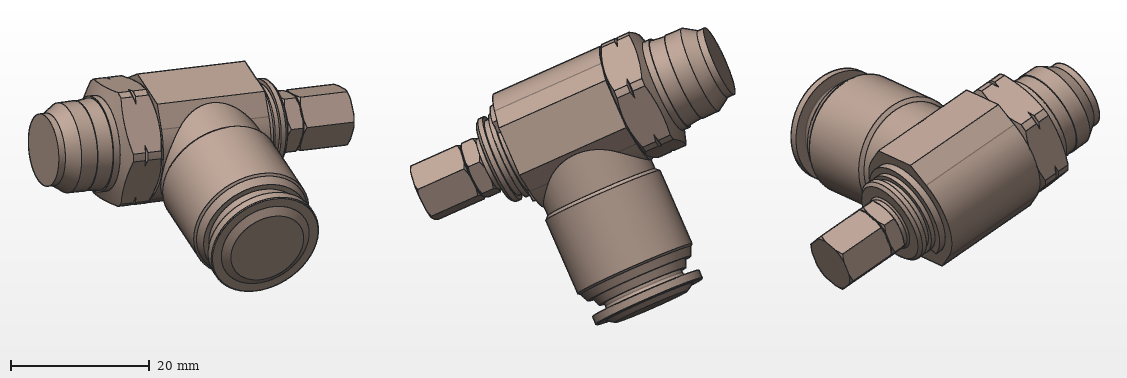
import cadquery as cq
import math


main_hex_flats = 17.0
main_hex_corner_r = 9.5
main_hex_start = 9.0
main_hex_end = 14.9
main_hex_front_angle = 20.0
main_hex_back_angle = 30.0
mark_root_r = 9.05
mark_width = 0.45
mark_y = 12.0

tip_r = 5.25
tip_length = 1.05
thread_start_r = 6.55
thread_end_r = 6.6
lead_in_end = 3.05
thread_end = 5.6
relief_small_r = 6.45
relief_large_r = 6.75
relief_end = 7.95
seat_r = 7.0

housing_end = 32.0
housing_apothem = 9.0
housing_mid = (main_hex_end + housing_end) / 2
octagon_half_step = 22.5
core_r = 5.95

stop_collar_r = 7.55
stop_collar_end = 33.1
stop_collar_cut_z = -3.32
ring_r = 6.55
inner_ring_end = 33.8
outer_ring_start = 34.75
outer_ring_end = 36.0
ring_chamfer = 0.48
neck_r = 4.05
neck_flare = 0.3
neck_end = 37.0

small_hex_flats = 8.0
lock_nut_end = 39.4
knob_start = 39.5
stem_length = 47.5
gap_r = 3.8
hex_chamfer_run = 0.3
hex_chamfer_inner_r = 4.15

elbow_tilt = octagon_half_step
elbow_r = 9.02
elbow_root_r = 8.45
shoulder_start = 10.35
shoulder_end = 10.9
elbow_end = 22.4
cap_rim_r = 8.7
cap_rim_end = 22.7
cap_small_r = 8.1
cap_end = 24.0
insert_large_r = 7.3
insert_small_r = 6.85
insert_end = 25.2
sleeve_r = 6.1
flange_back = 26.3
flange_front = 27.65
flange_r = 8.4
flange_chamfer = 0.15
flange_root_fillet = 0.6
button_base_r = 6.9
button_face_r = 5.7
button_face = 28.4


def turned_along_y(profile):
    """Revolve an outline of (radius, y) points about the Y axis."""
    return cq.Workplane("XY").polyline(profile).close().revolve(360, (0, 0, 0), (0, 1, 0))


def hexagon_along_y(flats, start, end):
    """Hexagonal bar with two flats facing up and down and two corners on the X axis."""
    corner_diameter = flats / math.cos(math.radians(30))
    return (
        cq.Workplane("XZ", origin=(0, start, 0))
        .polygon(6, corner_diameter)
        .extrude(start - end)
    )


def make_main_hexagon():
    flat_r = main_hex_flats / 2
    front_slope = math.tan(math.radians(main_hex_front_angle))
    back_slope = math.tan(math.radians(main_hex_back_angle))
    front_edge = main_hex_start + (main_hex_corner_r - seat_r) * front_slope
    back_edge = main_hex_end - (main_hex_corner_r - flat_r) * back_slope
    envelope = turned_along_y([
        (0, main_hex_start),
        (seat_r, main_hex_start),
        (main_hex_corner_r, front_edge),
        (main_hex_corner_r, mark_y - mark_width / 2),
        (mark_root_r, mark_y),
        (main_hex_corner_r, mark_y + mark_width / 2),
        (main_hex_corner_r, back_edge),
        (flat_r, main_hex_end),
        (0, main_hex_end),
    ])
    return hexagon_along_y(main_hex_flats, main_hex_start, main_hex_end).intersect(envelope)


def make_threaded_end():
    return turned_along_y([
        (0, 0),
        (tip_r, 0),
        (tip_r, tip_length),
        (thread_start_r, lead_in_end),
        (thread_end_r, thread_end),
        (relief_small_r, thread_end),
        (relief_large_r, relief_end),
        (seat_r, relief_end),
        (seat_r, main_hex_start),
        (0, main_hex_start),
    ])


def make_barrel_and_collars():
    return turned_along_y([
        (0, main_hex_end),
        (core_r, main_hex_end),
        (core_r, stop_collar_end),
        (ring_r, stop_collar_end),
        (ring_r, inner_ring_end),
        (core_r, inner_ring_end),
        (core_r, outer_ring_start),
        (ring_r, outer_ring_start),
        (ring_r, outer_ring_end - ring_chamfer),
        (ring_r - ring_chamfer, outer_ring_end),
        (neck_r + neck_flare, outer_ring_end),
        (neck_r, outer_ring_end + neck_flare),
        (neck_r, neck_end),
        (0, neck_end),
    ])


def make_stop_collar():
    """Collar against the housing, with its lower part cut away down to the barrel."""
    length = stop_collar_end - housing_end
    disc = cq.Workplane("XZ", origin=(0, housing_end, 0)).circle(stop_collar_r).extrude(-length)
    kept = cq.Workplane("XY").box(
        2 * stop_collar_r,
        length,
        stop_collar_r - stop_collar_cut_z,
        centered=(True, False, False),
    ).translate((0, housing_end, stop_collar_cut_z))
    return disc.intersect(kept)


def make_small_hexagon(start, end):
    """Short hexagon with the corners chamfered at both ends."""
    corner_r = small_hex_flats / 2 / math.cos(math.radians(30))
    envelope = turned_along_y([
        (0, start),
        (hex_chamfer_inner_r, start),
        (corner_r, start + hex_chamfer_run),
        (corner_r, end - hex_chamfer_run),
        (hex_chamfer_inner_r, end),
        (0, end),
    ])
    return hexagon_along_y(small_hex_flats, start, end).intersect(envelope)


def make_adjuster():
    lock_nut = make_small_hexagon(neck_end, lock_nut_end)
    knob = make_small_hexagon(knob_start, stem_length)
    link = (
        cq.Workplane("XZ", origin=(0, lock_nut_end, 0))
        .circle(gap_r)
        .extrude(lock_nut_end - knob_start)
    )
    return lock_nut.union(link).union(knob)


def make_stem():
    return (
        make_threaded_end()
        .union(make_main_hexagon())
        .union(make_barrel_and_collars())
        .union(make_stop_collar())
        .union(make_adjuster())
    )


def polar(radius, angle):
    """Point (x, z) at an angle in degrees from +X toward +Z."""
    return (radius * math.cos(math.radians(angle)), radius * math.sin(math.radians(angle)))


def make_housing_block():
    """Octagonal block, rounded to its inscribed cylinder around -X and around the elbow.

    Its corners lie at multiples of 45 degrees and its faces touch the cylinder halfway between.
    """
    vertex_r = housing_apothem / math.cos(math.radians(octagon_half_step))
    outline = (
        cq.Workplane("XZ", origin=(0, main_hex_end, 0))
        .moveTo(*polar(vertex_r, 90))
        .lineTo(*polar(housing_apothem, 112.5))
        .threePointArc(polar(housing_apothem, 157.5), polar(housing_apothem, 202.5))
        .lineTo(*polar(vertex_r, 225))
        .lineTo(*polar(vertex_r, 270))
        .lineTo(*polar(housing_apothem, 292.5))
        .threePointArc(polar(housing_apothem, 337.5), polar(housing_apothem, 22.5))
        .lineTo(*polar(vertex_r, 45))
        .close()
    )
    return outline.extrude(main_hex_end - housing_end)


def make_elbow():
    """Tube port with its release button, turned about X and then tilted into place."""
    fillet_start = (flange_back - flange_root_fillet, sleeve_r)
    fillet_end = (flange_back, sleeve_r + flange_root_fillet)
    fillet_inset = flange_root_fillet * math.sin(math.radians(45))
    fillet_middle = (fillet_start[0] + fillet_inset, fillet_end[1] - fillet_inset)
    body_outline = [
        (0, 0),
        (0, elbow_root_r),
        (shoulder_start, elbow_root_r),
        (shoulder_end, elbow_r),
        (elbow_end, elbow_r),
        (cap_rim_end, cap_rim_r),
        (cap_end, cap_small_r),
        (cap_end, insert_large_r),
        (insert_end, insert_small_r),
        (insert_end, sleeve_r),
        fillet_start,
    ]
    button_outline = [
        (flange_back, flange_r),
        (flange_front - flange_chamfer, flange_r),
        (flange_front, flange_r - flange_chamfer),
        (flange_front, button_base_r),
        (button_face, button_face_r),
        (button_face, 0),
    ]
    straight = (
        cq.Workplane("XY")
        .polyline(body_outline)
        .threePointArc(fillet_middle, fillet_end)
        .polyline(button_outline, includeCurrent=True)
        .close()
        .revolve(360, (0, 0, 0), (1, 0, 0))
    )
    return straight.rotate((0, 0, 0), (0, 1, 0), elbow_tilt).translate((0, housing_mid, 0))


def make_housing():
    bore = (
        cq.Workplane("XZ", origin=(0, main_hex_end, 0))
        .circle(core_r)
        .extrude(main_hex_end - housing_end)
    )
    return make_housing_block().union(make_elbow()).cut(bore)


stem = make_stem()
housing = make_housing()

result = cq.Compound.makeCompound([stem.val(), housing.val()])